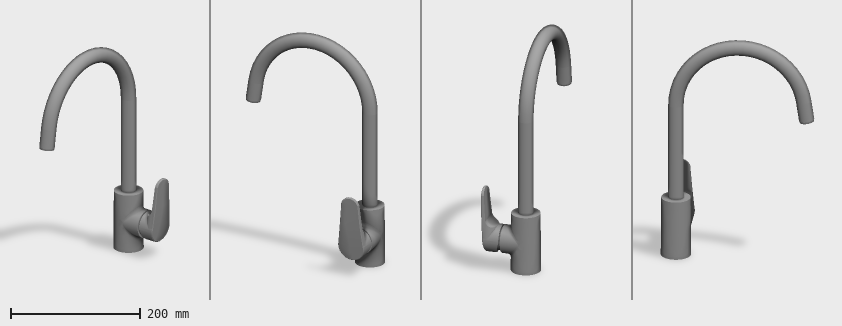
import cadquery as cq
import math

total_height = 361.7
body_height = 95.5
body_base_radius = 23.5
body_top_radius = 22.8

spout_diameter = 24.0
spout_radius = spout_diameter / 2
bend_radius = 100.0
bend_angle = 171.5
outlet_length = 33.5
outlet_bevel_height = 3.0
outlet_bevel_width = 0.7

hub_diameter = 45.0
hub_radius = hub_diameter / 2
hub_axis_height = 47.7
hub_end = 35.5
hub_blend_radius = 4.5
joint_search_margin = 1.8
neck_radius = 18.8

groove_width = 2.5
cap_start = hub_end + groove_width
cap_heel_x = 45.2
cap_toe_x = 61.5
scoop_start = 44.0
scoop_crest = 46.5
scoop_root = 59.7
scoop_side_angle = 45.0

blade_start = 61.5
blade_tip_height = 131.5
blade_shoulder_height = 121.0
blade_shoulder_half_width = 15.0
blade_mid_height = 96.0
blade_mid_half_width = 17.0

blade_inner_root = (60.0, 80.3)
blade_inner_tip = 64.5
blade_outer_mid = (66.5, 79.5)
blade_outer_tip = 68.5
blade_edge_bevel = 1.0
envelope_end = blade_outer_tip + 3.5


def make_body():
    taper = math.degrees(math.atan((body_base_radius - body_top_radius) / body_height))
    return cq.Workplane("XY").circle(body_base_radius).extrude(body_height, taper=taper)


def make_spout():
    """Upright tube, bend and straight outlet along one swept circle."""
    bend_height = total_height - spout_radius - bend_radius

    def on_bend(angle):
        turn = math.radians(angle)
        y = bend_radius * (math.cos(turn) - 1)
        return y, bend_height + bend_radius * math.sin(turn)

    bend_end = on_bend(bend_angle)
    heading = math.radians(bend_angle)
    direction = (-math.sin(heading), math.cos(heading))
    outlet = tuple(p + outlet_length * d for p, d in zip(bend_end, direction))
    path = (
        cq.Workplane("YZ")
        .lineTo(0, bend_height)
        .threePointArc(on_bend(bend_angle / 2), bend_end)
        .lineTo(*outlet)
    )
    tube = cq.Workplane("XY").circle(spout_radius).sweep(path)
    tip = tube.faces(cq.selectors.NearestToPointSelector((0, *outlet)))
    return tip.chamfer(outlet_bevel_height, outlet_bevel_width)


def along_x(start):
    """Plane facing +X, centred on the hub axis."""
    return cq.Workplane("YZ", origin=(start, 0, hub_axis_height))


def make_hub():
    return along_x(0).circle(hub_radius).extrude(hub_end)


def make_neck():
    return along_x(0).circle(neck_radius).extrude(scoop_root)


def draw_scoop_edge():
    """Upper half of the tilted ellipse where the scoop leaves the barrel, in three arcs."""
    run = scoop_root - scoop_start
    tilted = cq.Plane(
        origin=(scoop_root, 0, hub_axis_height),
        xDir=(0, 1, 0),
        normal=(hub_radius, 0, run),
    )
    half_length = math.hypot(run, hub_radius)
    outline = cq.Workplane(tilted).moveTo(hub_radius, 0)
    breaks = (0, scoop_side_angle, 180 - scoop_side_angle, 180)
    for start, end in zip(breaks, breaks[1:]):
        outline = outline.ellipseArc(hub_radius, half_length, start, end, startAtCurrent=True)
    return outline.close()


def draw_blade():
    """Flat base on the hub axis, tapering sides and a rounded tip."""
    mid_z = blade_mid_height - hub_axis_height
    shoulder_z = blade_shoulder_height - hub_axis_height
    tip_z = blade_tip_height - hub_axis_height
    return (
        along_x(blade_start)
        .moveTo(hub_radius, 0)
        .threePointArc((blade_mid_half_width, mid_z), (blade_shoulder_half_width, shoulder_z))
        .threePointArc((0, tip_z), (-blade_shoulder_half_width, shoulder_z))
        .threePointArc((-blade_mid_half_width, mid_z), (-hub_radius, 0))
        .close()
    )


def make_lever():
    """Round barrel, scoop and blade, all cut to one side profile, with a bevelled outer face."""
    barrel = along_x(cap_start).circle(hub_radius).extrude(envelope_end - cap_start)
    scoop_sections = [draw_scoop_edge().val(), draw_blade().val()]
    scoop = cq.Workplane(cq.Solid.makeLoft(scoop_sections, True))
    blade = draw_blade().extrude(envelope_end - blade_start)

    cap_bottom = hub_axis_height - hub_radius
    cap_top = hub_axis_height + hub_radius
    side_profile = (
        cq.Workplane("XZ")
        .moveTo(cap_heel_x, cap_bottom)
        .lineTo(cap_start, hub_axis_height)
        .lineTo(cap_start, cap_top)
        .lineTo(scoop_crest, cap_top)
        .tangentArcPoint(blade_inner_root, relative=False)
        .lineTo(blade_inner_tip, blade_tip_height)
        .lineTo(blade_outer_tip, blade_tip_height)
        .threePointArc(blade_outer_mid, (cap_toe_x, cap_bottom))
        .close()
        .extrude(hub_diameter, both=True)
    )
    lever = barrel.union(scoop).union(blade).intersect(side_profile)
    outer_face = cq.selectors.NearestToPointSelector((blade_outer_mid[0], 0, blade_outer_mid[1]))
    return lever.faces(outer_face).edges().chamfer(blade_edge_bevel)


def make_column():
    """Body and hub with a small blend where they meet."""
    column = make_body().union(make_hub())
    joint = cq.selectors.BoxSelector(
        (joint_search_margin, -hub_radius, joint_search_margin),
        (hub_end - joint_search_margin, hub_radius, body_height - joint_search_margin),
    )
    return column.edges(joint).fillet(hub_blend_radius)


result = make_column().union(make_spout()).union(make_neck()).union(make_lever())